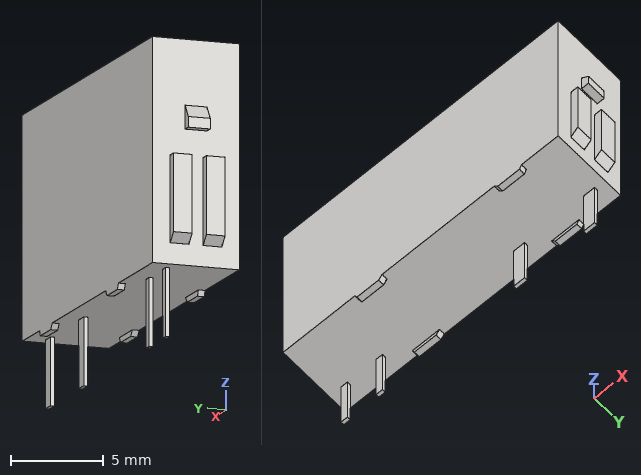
import cadquery as cq


overall_length = 21.0
overall_height = 16.3
side_projection = 0.5
case_length = overall_length - 2 * side_projection
case_width = 5.0
pin_length = 3.8
case_height = overall_height - pin_length
case_end = case_length / 2

rail_width = 1.07
rail_spacing = 1.9
rail_top = case_height - 6.47
rail_bottom = case_height - 11.32

latch_width = 1.25
latch_bottom = case_height - 4.98
left_latch_top = case_height - 3.65
left_latch_shoulder = case_height - 4.39
right_latch_top = case_height - 3.82
right_latch_shoulder = case_height - 4.22

pin_pitch = 2.55
pin_row_y = 1.3
pin_thickness = 0.23
narrow_pin_width = 0.48
wide_pin_width = 0.8
first_pin_x = -3.5 * pin_pitch
pins = [
    (first_pin_x, narrow_pin_width),
    (first_pin_x + pin_pitch, narrow_pin_width),
    (first_pin_x + 5 * pin_pitch, wide_pin_width),
    (first_pin_x + 7 * pin_pitch, wide_pin_width),
]

foot_height = 0.32
foot_thickness = 0.4
foot_outer_inset = 0.15
foot_inner_inset = 0.25
foot_length = 1.97
left_foot_x = -3.78
right_foot_x = 6.35


def extrude_across(points, width, y_centre):
    """Extrude an outline given as (x, z) points along Y, centred on y_centre."""
    blank = cq.Workplane("XZ").polyline(points).close().extrude(width / 2, both=True)
    return blank.translate((0, y_centre, 0))


def rail(side, y_centre):
    """Rail on the end face at -X (side = -1) or +X (side = 1)."""
    inner_x = side * case_end
    outer_x = side * (case_end + side_projection)
    outline = [
        (inner_x, rail_top),
        (outer_x, rail_top),
        (outer_x, rail_bottom + side_projection),
        (inner_x, rail_bottom),
    ]
    return extrude_across(outline, rail_width, y_centre)


def latch(side, top, shoulder):
    """Latch whose upper face slopes from the case down to its shoulder."""
    inner_x = side * case_end
    outer_x = side * (case_end + side_projection)
    outline = [
        (inner_x, top),
        (outer_x, shoulder),
        (outer_x, latch_bottom),
        (inner_x, latch_bottom),
    ]
    return extrude_across(outline, latch_width, 0)


def foot(side, x_centre, y_centre):
    """Tapered foot; side is -1 when its outer slope faces -X and 1 when it faces +X."""
    outer_x = x_centre + side * foot_length / 2
    inner_x = x_centre - side * foot_length / 2
    outline = [
        (outer_x, 0),
        (outer_x - side * foot_outer_inset, -foot_height),
        (inner_x + side * foot_inner_inset, -foot_height),
        (inner_x, 0),
    ]
    return extrude_across(outline, foot_thickness, y_centre)


def pin(x, width):
    """Straight flat pin hanging from the bottom of the case."""
    blank = cq.Workplane("XY").center(x, pin_row_y).rect(width, pin_thickness)
    return blank.extrude(-pin_length)


result = cq.Workplane("XY").rect(case_length, case_width).extrude(case_height)

for end in (-1, 1):
    for rail_y in (-rail_spacing / 2, rail_spacing / 2):
        result = result.union(rail(end, rail_y))

result = result.union(latch(-1, left_latch_top, left_latch_shoulder))
result = result.union(latch(1, right_latch_top, right_latch_shoulder))

foot_offset_y = (case_width - foot_thickness) / 2
for foot_y in (-foot_offset_y, foot_offset_y):
    result = result.union(foot(-1, left_foot_x, foot_y))
    result = result.union(foot(1, right_foot_x, foot_y))

for pin_x, pin_width in pins:
    result = result.union(pin(pin_x, pin_width))